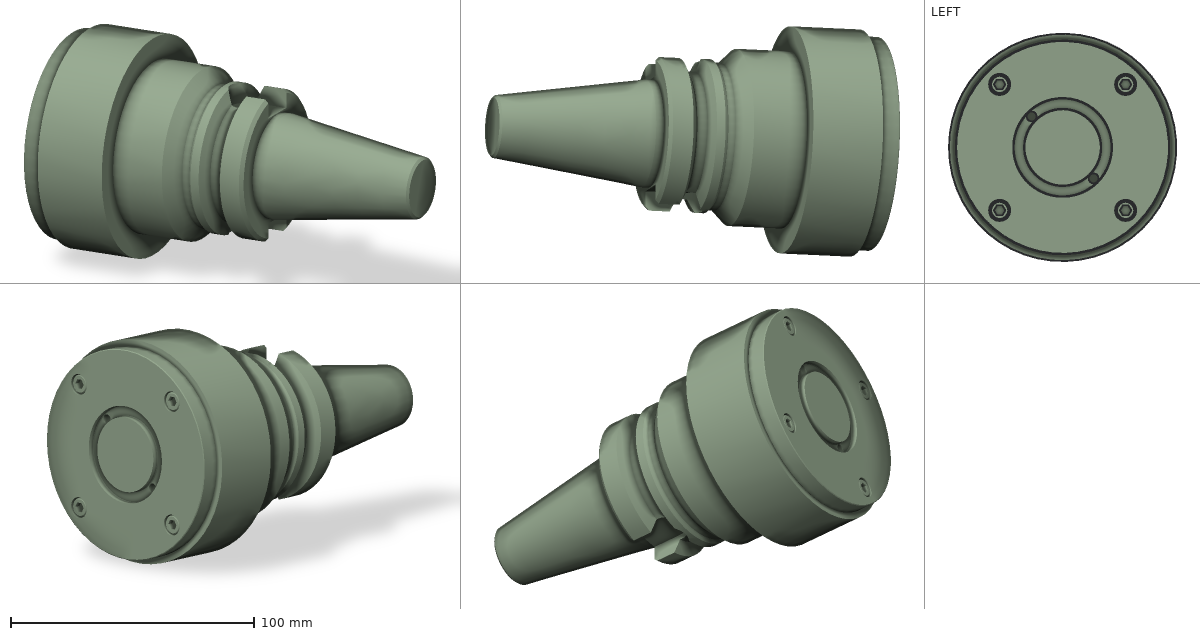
import cadquery as cq
import math

DISC_DIAMETER = 88.1
DISC_CHAMFER = 0.3
DRUM_DIAMETER = 93.6
DRUM_START = 8.0
DRUM_END = 37.6

SHOULDER_DIAMETER = 73.0
SHOULDER_END = 60.1
RELIEF_DIAMETER = 60.9
RELIEF_START = 66.5
RELIEF_END = 69.5

FLANGE_DIAMETER = 63.5
FLANGE_CHAMFER = 1.5
FRONT_COLLAR_END = 74.7
GROOVE_DIAMETER = 53.0
GROOVE_START = 77.5
GROOVE_END = 81.6
REAR_COLLAR_START = 84.5
FLANGE_END = 94.8

TAPER_DIAMETER = 44.4
TAPER_START = 98.0
TAPER_RATIO = 7 / 24
TAIL_CHAMFER = 1.0
TOTAL_LENGTH = 162.0

SLOT_WIDTH = 16.2
SLOT_FRONT = 73.0
SLOT_FLOOR_RADIUS = 22.7

RECESS_OUTER_DIAMETER = 40.8
RECESS_INNER_DIAMETER = 31.3
RECESS_DEPTH = 2.8
RECESS_ROOT_CHAMFER = 0.3
SPANNER_HOLE_DIAMETER = 4.0
SPANNER_HOLE_DEPTH = 4.9

SCREW_SPACING = 51.8
COUNTERBORE_DIAMETER = 8.7
SCREW_HEAD_DIAMETER = 8.0
SCREW_HEAD_HEIGHT = 4.9
SCREW_HEAD_SINK = 0.3
SCREW_HEAD_CHAMFER = 0.5
SOCKET_ACROSS_FLATS = 4.0
SOCKET_DEPTH = 2.5


def rod(diameter, start, length):
    """Cylinder along +X on the main axis, from the station `start`."""
    return cq.Workplane("YZ", origin=(start, 0, 0)).circle(diameter / 2).extrude(length)


def screw_places():
    """Y, Z centres of the four screws, at the corners of a square."""
    half = SCREW_SPACING / 2
    return [(y, z) for y in (-half, half) for z in (-half, half)]


def turned_blank():
    """Half profile of the holder turned about the X axis."""
    flange_radius = FLANGE_DIAMETER / 2
    tail_diameter = TAPER_DIAMETER - TAPER_RATIO * (TOTAL_LENGTH - TAIL_CHAMFER - TAPER_START)
    profile = [
        (0, 0),
        (0, DISC_DIAMETER / 2 - DISC_CHAMFER),
        (DISC_CHAMFER, DISC_DIAMETER / 2),
        (DRUM_START - DISC_CHAMFER, DISC_DIAMETER / 2),
        (DRUM_START, DISC_DIAMETER / 2 - DISC_CHAMFER),
        (DRUM_START, DRUM_DIAMETER / 2),
        (DRUM_END, DRUM_DIAMETER / 2),
        (DRUM_END, SHOULDER_DIAMETER / 2),
        (SHOULDER_END, SHOULDER_DIAMETER / 2),
        (RELIEF_START, RELIEF_DIAMETER / 2),
        (RELIEF_END, RELIEF_DIAMETER / 2),
        (RELIEF_END + FLANGE_CHAMFER, flange_radius),
        (FRONT_COLLAR_END, flange_radius),
        (GROOVE_START, GROOVE_DIAMETER / 2),
        (GROOVE_END, GROOVE_DIAMETER / 2),
        (REAR_COLLAR_START, flange_radius),
        (FLANGE_END - FLANGE_CHAMFER, flange_radius),
        (FLANGE_END, flange_radius - FLANGE_CHAMFER),
        (FLANGE_END, TAPER_DIAMETER / 2),
        (TAPER_START, TAPER_DIAMETER / 2),
        (TOTAL_LENGTH - TAIL_CHAMFER, tail_diameter / 2),
        (TOTAL_LENGTH, tail_diameter / 2 - TAIL_CHAMFER),
        (TOTAL_LENGTH, 0),
    ]
    return cq.Workplane("XY").polyline(profile).close().revolve(360, (0, 0, 0), (1, 0, 0))


def drive_slot(side):
    """Round-ended slot cutter on the +Z (side=1) or -Z (side=-1) flank of the flange."""
    round_center = SLOT_FRONT + SLOT_WIDTH / 2
    slot_height = FLANGE_DIAMETER / 2 - SLOT_FLOOR_RADIUS
    slot_floor = cq.Workplane("XY", origin=(round_center, 0, side * SLOT_FLOOR_RADIUS))
    round_end = slot_floor.circle(SLOT_WIDTH / 2).extrude(side * slot_height)
    straight = (
        slot_floor.center((FLANGE_END - round_center) / 2, 0)
        .rect(FLANGE_END - round_center, SLOT_WIDTH)
        .extrude(side * slot_height)
    )
    return round_end.union(straight)


def front_recess():
    """Ring-shaped recess cutter with two spanner holes in its floor."""
    ring = rod(RECESS_OUTER_DIAMETER, 0, RECESS_DEPTH).cut(rod(RECESS_INNER_DIAMETER, 0, RECESS_DEPTH))
    ring = ring.faces(">X").edges().chamfer(RECESS_ROOT_CHAMFER)
    hole_offset = (RECESS_OUTER_DIAMETER + RECESS_INNER_DIAMETER) / 4 * math.sqrt(0.5)
    holes = (
        cq.Workplane("YZ")
        .pushPoints([(hole_offset, hole_offset), (-hole_offset, -hole_offset)])
        .circle(SPANNER_HOLE_DIAMETER / 2)
        .extrude(RECESS_DEPTH + SPANNER_HOLE_DEPTH)
    )
    return ring.union(holes)


def make_holder():
    """Tool holder: turned body with drive slots, front recess and screw counterbores."""
    counterbores = (
        cq.Workplane("YZ")
        .pushPoints(screw_places())
        .circle(COUNTERBORE_DIAMETER / 2)
        .extrude(SCREW_HEAD_SINK + SCREW_HEAD_HEIGHT)
    )
    holder = turned_blank().cut(front_recess()).cut(counterbores)
    for side in (1, -1):
        holder = holder.cut(drive_slot(side))
    return holder


def make_screw(y, z):
    """Screw head with a hexagon socket, standing on the floor of its counterbore."""
    face = cq.Workplane("YZ", origin=(SCREW_HEAD_SINK, y, z))
    head = face.circle(SCREW_HEAD_DIAMETER / 2).extrude(SCREW_HEAD_HEIGHT)
    head = head.faces("<X").edges().chamfer(SCREW_HEAD_CHAMFER)
    across_corners = SOCKET_ACROSS_FLATS / math.cos(math.pi / 6)
    socket = face.polygon(6, across_corners).extrude(SOCKET_DEPTH)
    return head.cut(socket)


holder = make_holder()
screws = [make_screw(y, z) for y, z in screw_places()]

result = cq.Compound.makeCompound([holder.val(), *[screw.val() for screw in screws]])